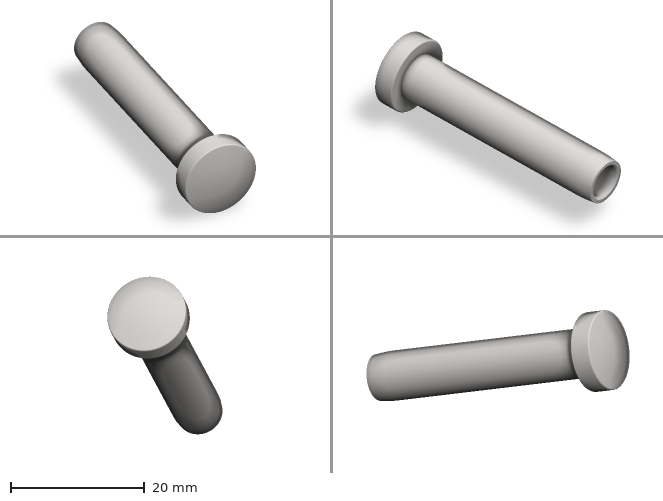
import cadquery as cq
import math

length = 41.0
head_radius = 12.0 / 2
shaft_radius = 7.5 / 2
tip_radius = 7.0 / 2
nose_length = 3.0

head_height = 4.0
dome_height = 0.75
edge_round = 0.25
head_start = length - head_height
dome_start = length - dome_height

bore_radius = 5.4 / 2
mouth_chamfer = 0.2
bore_depth = 32.8
drill_point_angle = 118.0
drill_point_depth = bore_radius / math.tan(math.radians(drill_point_angle / 2))


def nose_arc_midpoint():
    """Middle of the nose arc, which runs tangent into the shaft."""
    drop = shaft_radius - tip_radius
    arc_radius = (nose_length**2 + drop**2) / (2 * drop)
    half_angle = math.asin(nose_length / arc_radius) / 2
    x = nose_length - arc_radius * math.sin(half_angle)
    radius = shaft_radius - arc_radius * (1 - math.cos(half_angle))
    return (x, radius)


def revolve_about_x(profile):
    return profile.close().revolve(360, (0, 0, 0), (1, 0, 0))


def make_shaft():
    profile = (
        cq.Workplane("XY")
        .lineTo(0, tip_radius)
        .threePointArc(nose_arc_midpoint(), (nose_length, shaft_radius))
        .lineTo(head_start, shaft_radius)
        .lineTo(head_start, 0)
    )
    return revolve_about_x(profile)


def make_head():
    """Disc with rounded rims and a shallow spherical dome."""
    rim_radius = head_radius - edge_round
    dome_radius = (rim_radius**2 + dome_height**2) / (2 * dome_height)
    half_angle = math.asin(rim_radius / dome_radius) / 2
    dome_middle = (
        length - dome_radius * (1 - math.cos(half_angle)),
        dome_radius * math.sin(half_angle),
    )
    diagonal = edge_round * math.sqrt(0.5)
    profile = (
        cq.Workplane("XY")
        .moveTo(head_start, 0)
        .lineTo(head_start, rim_radius)
        .threePointArc(
            (head_start + edge_round - diagonal, rim_radius + diagonal),
            (head_start + edge_round, head_radius),
        )
        .lineTo(dome_start - edge_round, head_radius)
        .threePointArc(
            (dome_start - edge_round + diagonal, rim_radius + diagonal),
            (dome_start, rim_radius),
        )
        .threePointArc(dome_middle, (length, 0))
    )
    return revolve_about_x(profile)


def make_bore():
    """Bore with a chamfered mouth and a conical bottom."""
    profile = (
        cq.Workplane("XY")
        .lineTo(0, bore_radius + mouth_chamfer)
        .lineTo(mouth_chamfer, bore_radius)
        .lineTo(bore_depth, bore_radius)
        .lineTo(bore_depth + drill_point_depth, 0)
    )
    return revolve_about_x(profile)


result = make_shaft().union(make_head()).cut(make_bore())